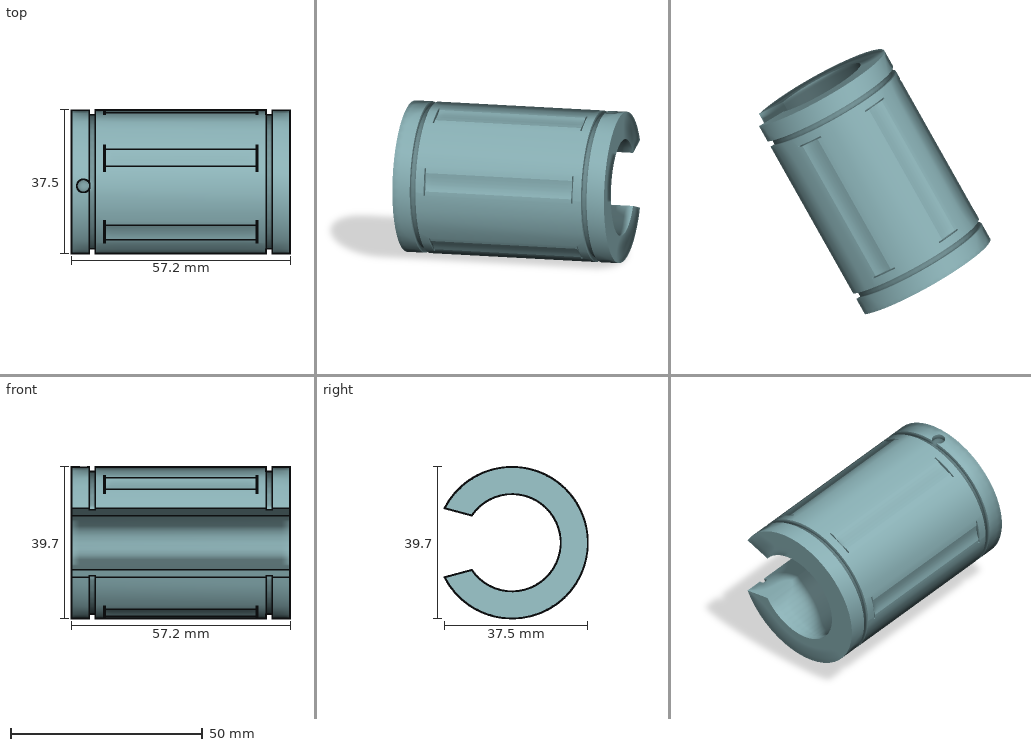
import cadquery as cq
import math

length = 57.15
outer_radius = 19.84
bore_radius = 12.7

groove_start = 4.7
groove_width = 1.55
groove_depth = 1.2

opening_half_width = 7.1
flank_angle = 15.0

plate_count = 5
plate_pitch = 60.0
first_plate_angle = 51.8
strip_span = 14.0
slot_span = 20.8
slot_start = 8.45
slot_width = 0.4
strip_radius = 9.15
slot_depth = 0.85
strip_start = slot_start + slot_width
strip_length = length - 2 * strip_start

pin_hole_radius = 1.7
pin_hole_x = 3.15
pin_hole_depth = 1.45

cutter_radius = outer_radius + 2.85


def ring(start, width, inner, outer):
    """Tube along X, from start to start + width."""
    return cq.Workplane("YZ", origin=(start, 0, 0)).circle(outer).circle(inner).extrude(width)


def on_circle(radius, angle):
    """(Y, Z) point at an angle in degrees from -Y toward +Z."""
    turn = math.radians(angle)
    return (-radius * math.cos(turn), radius * math.sin(turn))


def cross_slot(start, angle):
    """Cutter of constant radial depth that covers an angular span of the outer surface."""
    floor_radius = outer_radius - slot_depth
    low = angle - slot_span / 2
    high = angle + slot_span / 2
    return (
        cq.Workplane("YZ", origin=(start, 0, 0))
        .moveTo(*on_circle(floor_radius, low))
        .threePointArc(on_circle(floor_radius, angle), on_circle(floor_radius, high))
        .lineTo(*on_circle(cutter_radius, high))
        .threePointArc(on_circle(cutter_radius, angle), on_circle(cutter_radius, low))
        .close()
        .extrude(slot_width)
    )


def strip_groove(angle):
    """Cylindrical cutter that meets the outer surface across the strip's angular span."""
    half_span = math.radians(strip_span / 2)
    half_chord = outer_radius * math.sin(half_span)
    axis_distance = outer_radius * math.cos(half_span) + math.sqrt(strip_radius**2 - half_chord**2)
    return (
        cq.Workplane("YZ", origin=(strip_start, 0, 0))
        .center(*on_circle(axis_distance, angle))
        .circle(strip_radius)
        .extrude(strip_length)
    )


def opening():
    """Flared wedge that opens the sleeve along its whole length."""
    bore_edge_y = -math.sqrt(bore_radius**2 - opening_half_width**2)
    rise = math.tan(math.radians(flank_angle))
    outside_half_width = opening_half_width + (cutter_radius + bore_edge_y) * rise
    return (
        cq.Workplane("YZ")
        .polyline([
            (bore_edge_y, -opening_half_width),
            (bore_edge_y, opening_half_width),
            (-cutter_radius, outside_half_width),
            (-cutter_radius, -outside_half_width),
        ])
        .close()
        .extrude(length)
    )


result = ring(0, length, bore_radius, outer_radius)

for start in (groove_start, length - groove_start - groove_width):
    result = result.cut(ring(start, groove_width, outer_radius - groove_depth, cutter_radius))

for index in range(plate_count):
    angle = first_plate_angle + index * plate_pitch
    result = result.cut(strip_groove(angle))
    for start in (slot_start, length - strip_start):
        result = result.cut(cross_slot(start, angle))

pin_hole = (
    cq.Workplane("XY", origin=(pin_hole_x, 0, outer_radius - pin_hole_depth))
    .circle(pin_hole_radius)
    .extrude(cutter_radius)
)
result = result.cut(pin_hole)

result = result.cut(opening())